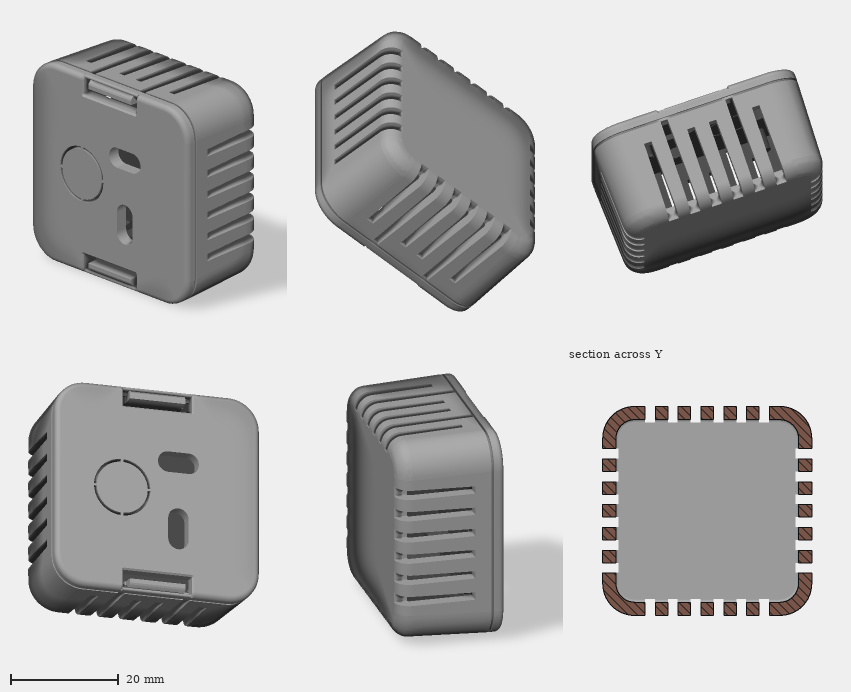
import cadquery as cq
import math

SIDE = 40.0
DEPTH = 20.3
CORNER_RADIUS = 6.0

FLANGE_THICKNESS = 2.0
FLANGE_EDGE_RADIUS = 1.0
GROOVE_WIDTH = 0.5
GROOVE_DEPTH = 0.4
PLATE_THICKNESS = FLANGE_THICKNESS + GROOVE_WIDTH

WALL = 2.5
COVER_DRAFT = 2.0
COVER_EDGE_RADIUS = 3.0
CAVITY_HALF = SIDE / 2 - WALL

SLOT_COUNT = 6
SLOT_PITCH = 4.25
SLOT_BACK_WIDTH = 1.9
SLOT_TAPER = 0.9
SLOT_START = 5.6
SLOT_INNER_END = 16.4
LONG_SLOTS = (1, SLOT_COUNT - 2)

WINDOW_HALF_WIDTH = 6.75
WINDOW_INNER = 16.1
WINDOW_CORNER_RADIUS = 0.2
WINDOW_BEVEL = 0.3
WINDOW_LEDGE = 18.65
BAR_INNER = 19.35
BAR_SHOULDER = 0.8

HOOK_HALF_WIDTH = 5.45
HOOK_TIP_INNER = 17.7
HOOK_TIP = 0.1
HOOK_TIP_OUTER = 18.5
HOOK_CATCH_OUTER = 19.3
HOOK_BEVEL_HEIGHT = 0.3
HOOK_BEVEL_DEPTH = 0.15
HOOK_RAMP_END = 0.7
HOOK_CATCH = 1.9

SCREW_SLOT_LENGTH = 8.0
SCREW_SLOT_WIDTH = 4.0
SCREW_SLOT_X = 4.0
HORIZONTAL_SLOT_Z = 6.0
VERTICAL_SLOT_Z = -7.0
KNOCKOUT_X = -7.0
KNOCKOUT_RADIUS = 5.0
KNOCKOUT_GAP = 0.5
KNOCKOUT_BRIDGE = 0.4

POST_OFFSET = 11.5
POST_RADIUS = 1.8
POST_TOP = 6.5


def depth_plane(y):
    """Plane across the box at depth y, facing +Y; its local axes are Z and X."""
    return cq.Workplane("ZX", origin=(0, y, 0))


def slab(half, radius, y_start, y_end):
    """Square slab with rounded corners between two depths."""
    side = 2 * half
    block = depth_plane(y_start).rect(side, side).extrude(y_end - y_start)
    return block.edges("|Y").fillet(radius)


def drafted_block(half, radius, edge_radius, y_start, y_end):
    """Square block that narrows towards the back, with rounded corners and back edge."""
    side = 2 * half
    block = depth_plane(y_start).rect(side, side).extrude(y_end - y_start, taper=COVER_DRAFT)
    block = block.edges("not(#Y)").fillet(radius)
    return block.faces(">Y").edges().fillet(edge_radius)


def crosswise(profile, half_width):
    """Extrude a (y, z) profile symmetrically along X."""
    return cq.Workplane("YZ").polyline(profile).close().extrude(half_width, both=True)


def on_both_ends(shape):
    """The shape at the +Z end and its mirror image at the -Z end."""
    return [shape, shape.mirror("XY")]




def window_opening():
    """Opening of the +Z snap window, which leaves a round-nosed bar at its outer side."""
    bar_middle = (SIDE / 2 + BAR_INNER) / 2
    bar_front = BAR_SHOULDER - (SIDE / 2 - BAR_INNER) / 2
    opening = (
        cq.Workplane("YZ")
        .moveTo(0, WINDOW_INNER)
        .lineTo(0, SIDE / 2)
        .lineTo(BAR_SHOULDER, SIDE / 2)
        .threePointArc((bar_front, bar_middle), (BAR_SHOULDER, BAR_INNER))
        .lineTo(FLANGE_THICKNESS, BAR_INNER)
        .lineTo(FLANGE_THICKNESS, WINDOW_LEDGE)
        .lineTo(PLATE_THICKNESS, WINDOW_LEDGE)
        .lineTo(PLATE_THICKNESS, WINDOW_INNER)
        .close()
        .extrude(WINDOW_HALF_WIDTH, both=True)
    )
    return opening.edges("|Y and <Z").fillet(WINDOW_CORNER_RADIUS)


def rim_outline(margin):
    """Window outline enlarged by a margin and mirrored past the outer side of the plate."""
    width = 2 * (WINDOW_HALF_WIDTH + margin)
    height = 2 * (SIDE / 2 - WINDOW_INNER + margin)
    return cq.Sketch().rect(width, height).vertices().fillet(WINDOW_CORNER_RADIUS + margin)


def window_front_bevel():
    """Bevel around the flat front rim of the +Z snap window."""
    inner_outline = rim_outline(0).moved(cq.Location(cq.Vector(0, 0, -WINDOW_BEVEL)))
    start = cq.Workplane("XZ", origin=(0, 0, SIDE / 2))
    return start.placeSketch(rim_outline(WINDOW_BEVEL), inner_outline).loft()


def window_corner_bevels():
    """Bevels that carry on around the rounded flange edge, up to the bar, beside the +Z window."""
    outer = FLANGE_EDGE_RADIUS
    sweep = math.degrees(math.acos((outer - BAR_SHOULDER) / outer))
    bevel = (
        cq.Workplane("XY", origin=(0, outer, SIDE / 2 - outer))
        .polyline(
            [
                (WINDOW_HALF_WIDTH, -outer),
                (WINDOW_HALF_WIDTH + WINDOW_BEVEL, -outer),
                (WINDOW_HALF_WIDTH, WINDOW_BEVEL - outer),
            ]
        )
        .close()
        .revolve(sweep, (0, 0, 0), (-1, 0, 0))
    )
    return bevel.union(bevel.mirror("YZ"))


def screw_slot(z, angle):
    """Oblong hole through the plate."""
    return (
        cq.Workplane("XZ", origin=(SCREW_SLOT_X, 0, z))
        .slot2D(SCREW_SLOT_LENGTH, SCREW_SLOT_WIDTH, angle)
        .extrude(-PLATE_THICKNESS)
    )


def knockout_gap():
    """Ring-shaped gap through the plate, interrupted by four bridges."""
    outer_radius = KNOCKOUT_RADIUS + KNOCKOUT_GAP
    start = cq.Workplane("XZ", origin=(KNOCKOUT_X, 0, 0))
    ring = start.circle(outer_radius).circle(KNOCKOUT_RADIUS).extrude(-PLATE_THICKNESS)
    for length, height in ((2 * outer_radius, KNOCKOUT_BRIDGE), (KNOCKOUT_BRIDGE, 2 * outer_radius)):
        ring = ring.cut(start.rect(length, height).extrude(-PLATE_THICKNESS))
    return ring


def make_base():
    flange = slab(SIDE / 2, CORNER_RADIUS, 0, FLANGE_THICKNESS)
    flange = flange.faces("<Y").edges().fillet(FLANGE_EDGE_RADIUS)
    seat_half = SIDE / 2 - GROOVE_DEPTH
    seat = slab(seat_half, CORNER_RADIUS - GROOVE_DEPTH, FLANGE_THICKNESS, PLATE_THICKNESS)
    base = flange.union(seat)
    for cutter in (window_opening(), window_front_bevel(), window_corner_bevels()):
        for window_cutter in on_both_ends(cutter):
            base = base.cut(window_cutter)
    base = base.cut(screw_slot(HORIZONTAL_SLOT_Z, 0)).cut(screw_slot(VERTICAL_SLOT_Z, 90))
    base = base.cut(knockout_gap())
    posts = (
        depth_plane(PLATE_THICKNESS)
        .rect(2 * POST_OFFSET, 2 * POST_OFFSET, forConstruction=True)
        .vertices()
        .circle(POST_RADIUS)
        .extrude(POST_TOP - PLATE_THICKNESS)
    )
    return base.union(posts)




def vent_slot(offset, y_start):
    """Slot through the +Z wall and back corner, wider towards the back."""
    back_half = SLOT_BACK_WIDTH / 2
    start_half = back_half - (DEPTH - y_start) * math.tan(math.radians(SLOT_TAPER))
    return (
        cq.Workplane("XY", origin=(offset, 0, SLOT_INNER_END))
        .polyline(
            [
                (-start_half, y_start),
                (start_half, y_start),
                (back_half, DEPTH),
                (-back_half, DEPTH),
            ]
        )
        .close()
        .extrude(SIDE / 2 - SLOT_INNER_END)
    )


def snap_hook():
    """Hook at the end of the +Z tongue, reaching through the plate window."""
    return crosswise(
        [
            (PLATE_THICKNESS, CAVITY_HALF),
            (HOOK_TIP, HOOK_TIP_INNER),
            (HOOK_TIP, HOOK_TIP_OUTER),
            (HOOK_TIP + HOOK_BEVEL_DEPTH, HOOK_TIP_OUTER + HOOK_BEVEL_HEIGHT),
            (HOOK_RAMP_END, HOOK_CATCH_OUTER),
            (HOOK_CATCH, HOOK_CATCH_OUTER),
            (HOOK_CATCH, HOOK_TIP_OUTER),
            (PLATE_THICKNESS, HOOK_TIP_OUTER),
        ],
        HOOK_HALF_WIDTH,
    )


def make_cover():
    shell = drafted_block(SIDE / 2, CORNER_RADIUS, COVER_EDGE_RADIUS, PLATE_THICKNESS, DEPTH)
    cavity = drafted_block(
        CAVITY_HALF, CORNER_RADIUS - WALL, COVER_EDGE_RADIUS - WALL, PLATE_THICKNESS, DEPTH - WALL
    )
    cover = shell.cut(cavity)
    for wall in range(4):
        has_tongue = wall % 2 == 0
        for index in range(SLOT_COUNT):
            offset = (index - (SLOT_COUNT - 1) / 2) * SLOT_PITCH
            is_long = has_tongue and index in LONG_SLOTS
            y_start = PLATE_THICKNESS if is_long else SLOT_START
            slot = vent_slot(offset, y_start)
            cover = cover.cut(slot.rotate((0, 0, 0), (0, 1, 0), 90 * wall))
    for hook in on_both_ends(snap_hook()):
        cover = cover.union(hook)
    return cover


base = make_base()
cover = make_cover()

result = cq.Compound.makeCompound([base.solids().val(), cover.solids().val()])